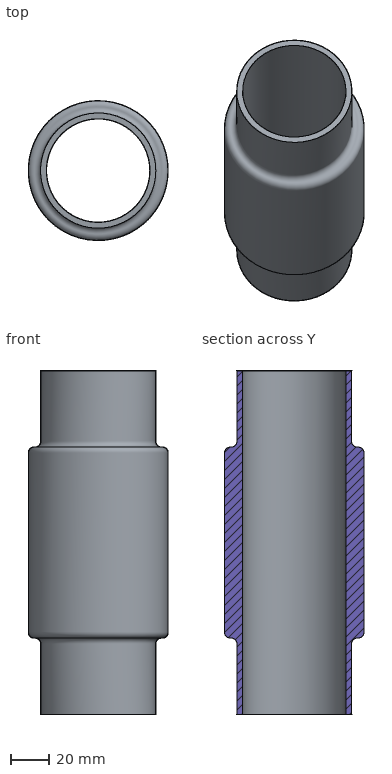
import cadquery as cq

TOTAL_LENGTH = 180.0
BODY_LENGTH = 100.0
BODY_DIAMETER = 73.3
NECK_DIAMETER = 60.3
BORE_DIAMETER = 54.0

BODY_EDGE_RADIUS = 3.0
NECK_ROOT_RADIUS = 2.9


def centred_cylinder(diameter, length):
    """Cylinder along Z, centred on the origin."""
    base = cq.Workplane("XY").workplane(offset=-length / 2)
    return base.circle(diameter / 2).extrude(length)


def sleeve_body():
    """Wide middle section with its two outer rims rounded."""
    body = centred_cylinder(BODY_DIAMETER, BODY_LENGTH)
    return body.faces("|Z").edges().fillet(BODY_EDGE_RADIUS)


def shoulder_edges(solid):
    """Inner corners where the necks meet the flat ends of the body."""
    half_body = BODY_LENGTH / 2
    neck_radius = NECK_DIAMETER / 2
    margin = 0.2
    edges = solid.edges("%CIRCLE")
    return edges.filter(
        lambda edge: abs(abs(edge.Center().z) - half_body) < margin
        and abs(edge.radius() - neck_radius) < margin
    )


outer = sleeve_body().union(centred_cylinder(NECK_DIAMETER, TOTAL_LENGTH))
outer = shoulder_edges(outer).fillet(NECK_ROOT_RADIUS)
result = outer.cut(centred_cylinder(BORE_DIAMETER, TOTAL_LENGTH))